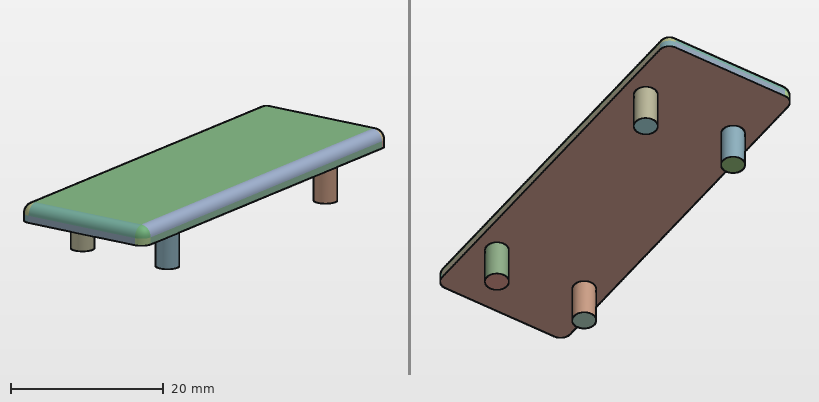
import cadquery as cq

plate_width = 20.0
plate_length = 55.15
plate_thickness = 2.5
edge_radius = 1.5

total_height = 8.05
peg_length = total_height - plate_thickness
peg_diameter = 3.15
peg_spacing_x = 13.6
peg_spacing_y = 35.6


def make_plate():
    """Plate standing on Z = 0 with rounded corners and a rounded top rim."""
    block = cq.Workplane("XY").box(
        plate_width, plate_length, plate_thickness, centered=(True, True, False)
    )
    return block.edges("|Z").fillet(edge_radius).faces(">Z").edges().fillet(edge_radius)


def make_pegs():
    """Four round pegs hanging from the underside of the plate."""
    return (
        cq.Workplane("XY")
        .rect(peg_spacing_x, peg_spacing_y, forConstruction=True)
        .vertices()
        .circle(peg_diameter / 2)
        .extrude(-peg_length)
    )


result = make_plate().union(make_pegs())